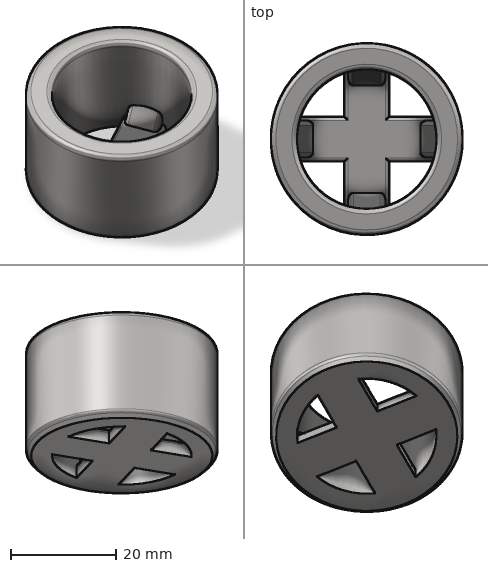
import cadquery as cq
import math

OUTER_DIAMETER = 36.5
BORE_DIAMETER = 26.5
HEIGHT = 22.0
RIM_FILLET = 1.0
BASE_CHAMFER = 1.02
BASE_BLEND = 1.0

ARM_WIDTH = 8.58
ARM_THICKNESS = 3.0
ARM_FILLET = 0.73

GUSSET_WIDTH = 7.08
GUSSET_FILLET = 1.0
GUSSET_START = 10.22
GUSSET_ANGLE = 45.0

OUTER_RADIUS = OUTER_DIAMETER / 2
BORE_RADIUS = BORE_DIAMETER / 2
EMBED_RADIUS = (OUTER_RADIUS + BORE_RADIUS) / 2


def make_ring():
    """Round tube with a rounded top rim and a blended chamfer at its base."""
    body = cq.Workplane("XY").circle(OUTER_RADIUS).extrude(HEIGHT)
    body = body.faces("<Z").edges().chamfer(BASE_CHAMFER)
    body = body.edges(">>Z[2]").fillet(BASE_BLEND)
    bore = cq.Workplane("XY").circle(BORE_RADIUS).extrude(HEIGHT)
    return body.cut(bore).faces(">Z").edges().fillet(RIM_FILLET)


def make_cross():
    """Two crossing bars with rounded upper edges, trimmed round inside the wall."""
    length = 2 * OUTER_RADIUS
    along_x = cq.Workplane("XY").box(length, ARM_WIDTH, ARM_THICKNESS, centered=(True, True, False))
    along_y = cq.Workplane("XY").box(ARM_WIDTH, length, ARM_THICKNESS, centered=(True, True, False))
    cross = along_x.union(along_y).faces(">Z").edges().fillet(ARM_FILLET)
    trim = cq.Workplane("XY").circle(EMBED_RADIUS).extrude(ARM_THICKNESS)
    return cross.intersect(trim)


def make_gusset():
    """Wedge on the +X arm, with the long edges of its sloped face rounded."""
    slope = math.tan(math.radians(GUSSET_ANGLE))
    toe = GUSSET_START - ARM_THICKNESS / slope
    peak = (EMBED_RADIUS - toe) * slope
    wedge = (
        cq.Workplane("XZ")
        .polyline([(toe, 0), (EMBED_RADIUS, 0), (EMBED_RADIUS, peak)])
        .close()
        .extrude(GUSSET_WIDTH / 2, both=True)
    )
    wedge = wedge.edges("not(|X or |Y or |Z)").fillet(GUSSET_FILLET)
    trim = cq.Workplane("XY").circle(EMBED_RADIUS).extrude(peak)
    return wedge.intersect(trim)


part = make_ring().union(make_cross())
gusset = make_gusset()
for turn in (0, 90, 180, 270):
    part = part.union(gusset.rotate((0, 0, 0), (0, 0, 1), turn))

result = part